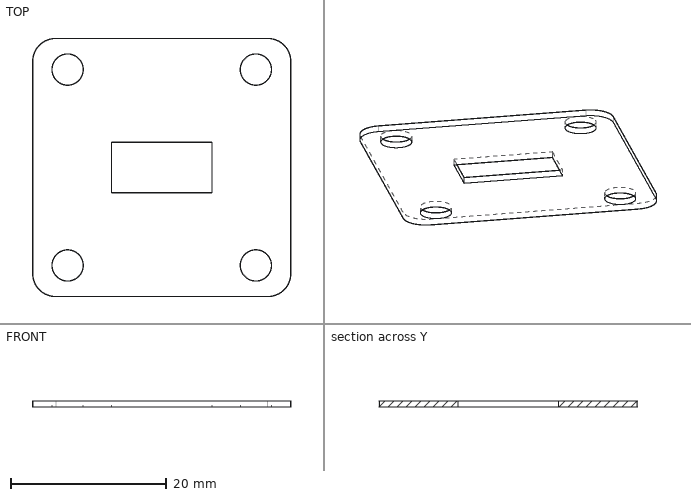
import cadquery as cq

plate_side = 33.3
plate_thickness = 0.81
corner_radius = 3.0

window_length = 12.95
window_width = 6.48

hole_diameter = 4.0
hole_spacing_x = 24.26
hole_spacing_y = 25.24


def make_plate():
    """Square plate with rounded corners, its underside on Z = 0."""
    plate = cq.Workplane("XY").rect(plate_side, plate_side).extrude(plate_thickness)
    return plate.edges("|Z").fillet(corner_radius)


def cut_window(plate):
    """Cut the sharp-cornered waveguide opening through the plate."""
    return plate.faces(">Z").workplane().rect(window_length, window_width).cutThruAll()


def cut_bolt_holes(plate):
    """Drill one through hole at each corner of the bolt pattern."""
    hole_centres = plate.faces(">Z").workplane().rect(
        hole_spacing_x, hole_spacing_y, forConstruction=True
    )
    return hole_centres.vertices().hole(hole_diameter)


result = cut_bolt_holes(cut_window(make_plate()))